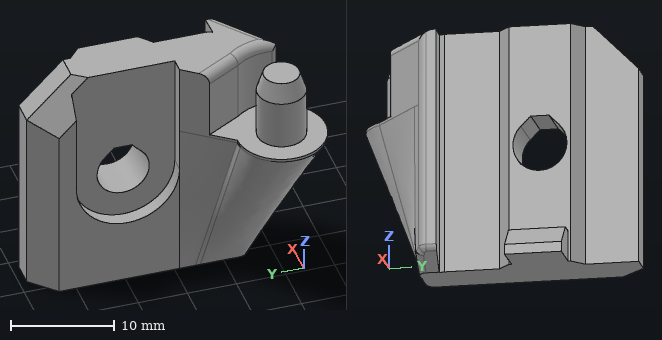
import cadquery as cq
import math


height = 24.0
plate_left = 3.5
plate_right = 8.55
plate_front = 9.25
plate_back = 24.0
side_chamfer = 2.5
top_chamfer = 4.5

pocket_depth = 1.5
pocket_radius = 5.25
pocket_y = plate_front + pocket_radius
hole_z = height / 2
hole_radius = 2.65
hole_flat_height = 2.85

rib_right = 9.9
rib_half_base = 4.25
rib_half_crest = 3.05
foot_right = 13.4
foot_width = 5.6
foot_height = 3.05
foot_chamfer = 2.05

cap_radius = 4.5
cap_top = 16.87
cap_thickness = 0.3
cap_bottom = cap_top - cap_thickness
pin_radius = 4.9 / 2
pin_tip_radius = 1.8
pin_cone_height = 2.0

front_angle = math.radians(38.7)
front_offset = 4.3
hook_right = 10.5
hook_back = 4.4
notch_depth = 0.18
notch_bottom = 4.3
notch_top = 4.85
hook_edge_radius = 1.0
hook_relief_radius = 0.9
hook_relief_margin = 0.1

recess_radius = 4.9
recess_angle = math.radians(41)
recess_wall_angle = math.radians(119.5)
recess_wall_length = 5.0
recess_top_radius = 1.0
recess_corner_radius = 0.45

taper_front = 2.2
taper_side_end = 7.13
taper_corner_radius = 0.9
taper_front_start = 5.8
taper_front_end = 9.65
taper_side_step = 0.5
taper_side_angle = math.radians(100)
cap_front_end = 9.4


def polar(radius, angle):
    return (radius * math.cos(angle), radius * math.sin(angle))


def front_y(x):
    """Y of the slanted front face at a given X."""
    return (x * math.sin(front_angle) - front_offset) / math.cos(front_angle)


def front_meets_circle(radius):
    """Point where the slanted front face leaves a circle about the pin axis."""
    angle = front_angle - math.pi / 2 + math.acos(front_offset / radius)
    return polar(radius, angle)


def prism(points, bottom, top):
    return cq.Workplane("XY").workplane(offset=bottom).polyline(points).close().extrude(top - bottom)


def upright_edge(x, y):
    """Selector for the upright edge nearest to a point in plan."""
    return cq.selectors.NearestToPointSelector((x, y, (cap_top + height) / 2))


def top_edge(body, x, y):
    """The top edge nearest to a point in plan."""
    return body.edges(">Z").edges(cq.selectors.NearestToPointSelector((x, y, height)))


def back_corner_triangle(x, leg):
    """45 degree triangle at the plate's top back edge, in the plane of a given X."""
    points = [(plate_back, height), (plate_back - leg, height), (plate_back, height - leg)]
    return cq.Workplane("YZ", origin=(x, 0, 0)).polyline(points).close().val()


def make_plate():
    plate = prism(
        [
            (plate_left, plate_front),
            (plate_right, plate_front),
            (plate_right, plate_back),
            (plate_left + side_chamfer, plate_back),
            (plate_left, plate_back - side_chamfer),
        ],
        0,
        height,
    )
    corner = cq.Workplane("YZ").add(back_corner_triangle(0, top_chamfer)).toPending().extrude(plate_right)
    bevel = cq.Solid.makeLoft(
        [
            back_corner_triangle(plate_left + side_chamfer, top_chamfer),
            back_corner_triangle(plate_left, top_chamfer + math.sqrt(2) * side_chamfer),
        ],
        True,
    )
    return plate.cut(corner).cut(cq.Workplane(bevel))


def make_rib_and_foot():
    rib = prism(
        [
            (plate_right, pocket_y - rib_half_base),
            (rib_right, pocket_y - rib_half_crest),
            (rib_right, pocket_y + rib_half_crest),
            (plate_right, pocket_y + rib_half_base),
        ],
        0,
        height,
    )
    foot = (
        cq.Workplane("XZ", origin=(0, pocket_y, 0))
        .polyline(
            [
                (plate_right, 0),
                (foot_right, 0),
                (foot_right, foot_height - foot_chamfer),
                (foot_right - foot_chamfer, foot_height),
                (plate_right, foot_height),
            ]
        )
        .close()
        .extrude(foot_width / 2, both=True)
    )
    return rib.union(foot)


def make_pocket():
    return (
        cq.Workplane("YZ", origin=(plate_left, 0, 0))
        .moveTo(pocket_y - pocket_radius, height)
        .lineTo(pocket_y - pocket_radius, hole_z)
        .threePointArc((pocket_y, hole_z - pocket_radius), (pocket_y + pocket_radius, hole_z))
        .lineTo(pocket_y + pocket_radius, height)
        .close()
        .extrude(pocket_depth)
    )


def make_hole():
    """Round hole with a 45 degree roof that ends in a narrow flat."""
    tangent = hole_radius * math.sqrt(0.5)
    half_flat = 2 * tangent - hole_flat_height
    length = rib_right - plate_left
    return (
        cq.Workplane("YZ", origin=(plate_left, pocket_y, hole_z))
        .moveTo(-tangent, tangent)
        .threePointArc((0, -hole_radius), (tangent, tangent))
        .lineTo(half_flat, hole_flat_height)
        .lineTo(-half_flat, hole_flat_height)
        .close()
        .extrude(length)
    )


def make_sharp_wing():
    """Cap and recessed wing above the tapered body, before any edge is rounded."""
    front_start = front_meets_circle(cap_radius)
    wing = (
        cq.Workplane("XY")
        .workplane(offset=cap_bottom)
        .moveTo(plate_left, plate_front)
        .lineTo(0, cap_radius)
        .threePointArc((-cap_radius, 0), front_start)
        .lineTo(hook_right, front_y(hook_right))
        .lineTo(hook_right, hook_back)
        .lineTo(plate_right - notch_depth, notch_bottom)
        .lineTo(plate_right, notch_top)
        .lineTo(plate_right, plate_front)
        .close()
        .extrude(height - cap_bottom)
    )
    wall_bend = polar(recess_radius, recess_angle)
    wall_end = front_meets_circle(recess_radius)
    wall_run = polar(recess_wall_length, recess_wall_angle)
    wall_start = (wall_bend[0] + wall_run[0], wall_bend[1] + wall_run[1])
    clear = 2 * cap_radius
    recess = (
        cq.Workplane("XY")
        .workplane(offset=cap_top)
        .moveTo(*wall_bend)
        .threePointArc((recess_radius, 0), wall_end)
        .lineTo(wall_end[0], -clear)
        .lineTo(-clear, -clear)
        .lineTo(-clear, wall_start[1])
        .lineTo(*wall_start)
        .close()
        .extrude(height - cap_top)
    )
    return wing.cut(recess)


def make_upper_wing():
    """Wing with rounded top edges and rounded upright corners."""
    sharp = make_sharp_wing()
    wall_bend = polar(recess_radius, recess_angle)
    wall_end = front_meets_circle(recess_radius)
    front_x = (wall_end[0] + hook_right) / 2
    wall_run = polar(recess_wall_length / 2, recess_wall_angle)
    edges = (
        top_edge(sharp, *polar(recess_radius, recess_angle / 2))
        .add(top_edge(sharp, wall_bend[0] + wall_run[0], wall_bend[1] + wall_run[1]))
        .add(top_edge(sharp, front_x, front_y(front_x)))
    )
    rounded_top = edges.fillet(recess_top_radius)
    recess_corner = upright_edge(*wall_end)
    hook_corner = upright_edge(hook_right, front_y(hook_right))
    rounded_corners = sharp.edges(recess_corner).fillet(recess_corner_radius)
    rounded_corners = rounded_corners.edges(hook_corner).fillet(hook_edge_radius)
    return rounded_top.intersect(rounded_corners)


def close_around_hook(path):
    """Finish an outline from the slanted front, round the hook, back to the plate's front corner."""
    half_turn = (math.pi / 2 - front_angle) / 2
    corner_y = front_y(hook_right)
    setback = hook_edge_radius * math.tan(half_turn)
    center_x = hook_right - hook_edge_radius
    center_y = corner_y + setback
    arc_start = (hook_right - setback * math.cos(front_angle), corner_y - setback * math.sin(front_angle))
    arc_middle = (
        center_x + hook_edge_radius * math.cos(half_turn),
        center_y - hook_edge_radius * math.sin(half_turn),
    )
    return (
        path.lineTo(*arc_start)
        .threePointArc(arc_middle, (hook_right, center_y))
        .lineTo(hook_right, hook_back)
        .lineTo(plate_right - notch_depth, notch_bottom)
        .lineTo(plate_right, notch_top)
        .lineTo(plate_right, plate_front)
        .close()
        .val()
    )


def taper_underside():
    """Bottom outline: along the plate's face, round a tight corner, then straight along X."""
    corner_inset = taper_corner_radius * (1 - math.sqrt(0.5))
    corner_reach = 2 * taper_corner_radius
    corner_curve = [
        (plate_left, taper_front + corner_reach),
        (plate_left + corner_inset, taper_front + corner_inset),
        (plate_left + corner_reach, taper_front),
        (taper_front_start, taper_front),
    ]
    path = (
        cq.Workplane("XY")
        .moveTo(plate_left, plate_front)
        .lineTo(plate_left, taper_side_end + taper_side_step)
        .lineTo(plate_left, taper_side_end)
        .spline(corner_curve, tangents=[(0, -1), (1, 0)], includeCurrent=True)
        .lineTo(taper_front_end, taper_front)
    )
    return close_around_hook(path)


def taper_top():
    """Top outline: the cap's circle and the slanted front."""
    front_start = front_meets_circle(cap_radius)
    front_start_angle = math.atan2(front_start[1], front_start[0]) + 2 * math.pi
    arc_middle = polar(cap_radius, (taper_side_angle + front_start_angle) / 2)
    path = (
        cq.Workplane("XY")
        .workplane(offset=cap_bottom)
        .moveTo(plate_left, plate_front)
        .lineTo(0, cap_radius)
        .lineTo(*polar(cap_radius, taper_side_angle))
        .threePointArc(arc_middle, front_start)
        .lineTo(cap_front_end, front_y(cap_front_end))
    )
    return close_around_hook(path)


def make_hook_relief():
    """45 degree wedge that trims the hook's lower corner."""
    reach = 2 * (hook_right - plate_right)
    depth = 2 * hook_back
    return (
        cq.Workplane("XZ", origin=(0, hook_back, 0))
        .polyline([(plate_right, 0), (plate_right + reach, 0), (plate_right + reach, reach)])
        .close()
        .extrude(depth)
    )


def make_pin():
    return (
        cq.Workplane("XZ")
        .polyline(
            [
                (0, cap_bottom),
                (pin_radius, cap_bottom),
                (pin_radius, height - pin_cone_height),
                (pin_tip_radius, height),
                (0, height),
            ]
        )
        .close()
        .revolve(360, (0, 0, 0), (0, 1, 0))
    )


def make_lower_wing():
    """Body tapering from the cap to the plate, with the hook's lower corner trimmed and rounded."""
    tapered_body = cq.Workplane(cq.Solid.makeLoft([taper_underside(), taper_top()], True))
    lower = tapered_body.cut(make_hook_relief())
    front_edges = cq.selectors.BoxSelector(
        (plate_right, 0, hook_relief_margin),
        (hook_right, hook_back - hook_edge_radius, hook_right - plate_right),
    )
    return lower.edges(front_edges).fillet(hook_relief_radius)


result = (
    make_plate()
    .union(make_rib_and_foot())
    .union(make_lower_wing())
    .union(make_upper_wing())
    .union(make_pin())
    .cut(make_pocket())
    .cut(make_hole())
)